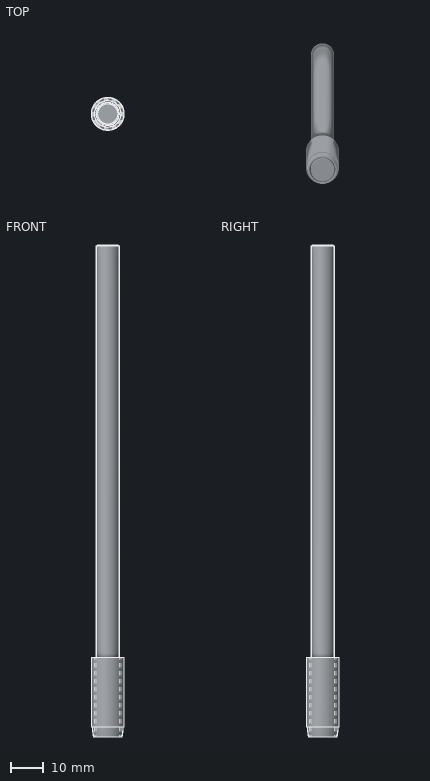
import cadquery as cq

total_length = 150.0
sleeve_diameter = 10.0
sleeve_length = 24.3

nose_length = 3.0
nose_step = 0.3
nose_end_diameter = 8.7
nose_bulge = 0.08

rod_diameter = 7.0
rod_chamfer = 0.5
radial_clearance = 0.5
bore_diameter = rod_diameter + 2 * radial_clearance


def make_sleeve():
    """Hollow sleeve with a stepped, rounded nose at its lower end."""
    outer_radius = sleeve_diameter / 2
    bore_radius = bore_diameter / 2
    nose_start_radius = outer_radius - nose_step
    nose_end_radius = nose_end_diameter / 2
    nose_middle_radius = (nose_start_radius + nose_end_radius) / 2 + nose_bulge
    return (
        cq.Workplane("XZ")
        .moveTo(bore_radius, 0)
        .lineTo(nose_end_radius, 0)
        .threePointArc((nose_middle_radius, nose_length / 2), (nose_start_radius, nose_length))
        .lineTo(outer_radius, nose_length)
        .lineTo(outer_radius, sleeve_length)
        .lineTo(bore_radius, sleeve_length)
        .close()
        .revolve(360, (0, 0, 0), (0, 1, 0))
    )


def make_rod():
    """Straight full-length rod, centred in the sleeve bore, with a chamfered top end."""
    return (
        cq.Workplane("XY")
        .circle(rod_diameter / 2)
        .extrude(total_length)
        .faces(">Z")
        .chamfer(rod_chamfer)
    )


sleeve = make_sleeve()
rod = make_rod()

result = cq.Compound.makeCompound([sleeve.val(), rod.val()])